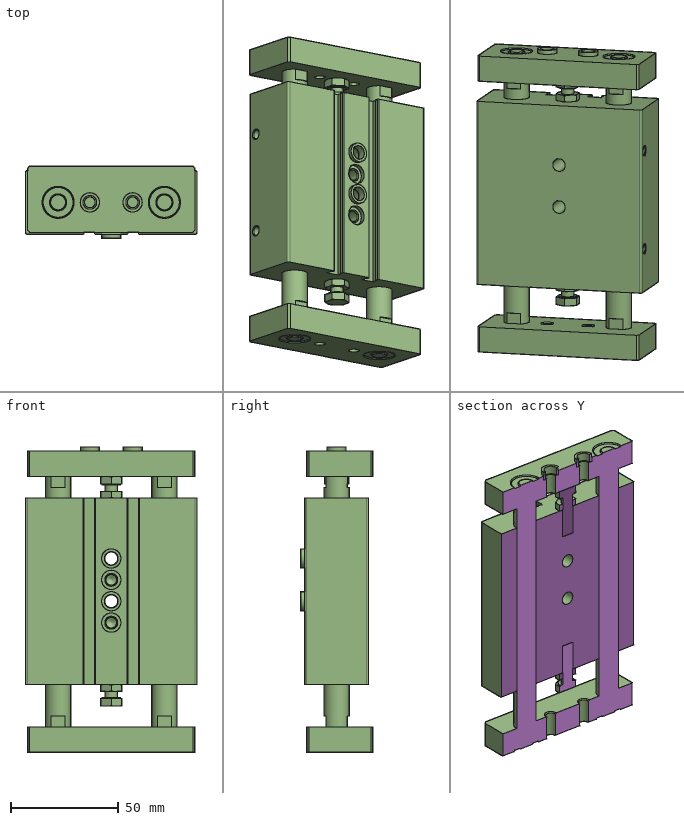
import cadquery as cq
import math


overall_height = 142.4
plate_width = 78.0
plate_height = 12.0
plate_back = 17.0
plate_front = -14.0
plate_chamfer = 1.0
rod_diameter = 12.0
rod_offset = 24.8
flat_width = 10.0
flat_height = 5.0
rod_recess_diameter = 15.0
rod_tip_diameter = 8.0
rod_recess_depth = 0.5

housing_width = 80.0
housing_depth = 29.9
housing_height = 87.0
housing_fillet = 1.0
upper_gap = 10.0
slot_inner = 7.8
slot_outer = 12.7
slot_undercut = 0.7
slot_lip = 1.9
slot_depth = 5.0
slot_lip_chamfer = 0.4
port_diameter = 4.1
port_mouth_diameter = 5.0
port_depth = 8.5
port_end_distance = 20.2
port_y = 10.0

hole_pitch = 10.0
upper_hole_distance = 28.2
sleeve_outer = 9.0
sleeve_inner = 6.4
sleeve_projection = 1.9
sleeve_length = 4.0
through_diameter = 6.0
thread_core_diameter = 5.0
thread_mouth_diameter = 6.0
blind_depth = 10.0
drill_point_angle = 118.0

screw_diameter = 6.0
screw_hole_depth = 14.2
screw_projection = upper_gap
hex_flats = 10.0
hex_chamfer_diameter = 10.5
head_height = 4.0
washer_face_diameter = 8.8
washer_face_height = 0.4
nut_height = 3.1
hex_chamfer_angle = 30.0
half_hex_angle = 30.0
hex_corners = hex_flats / math.cos(math.radians(half_hex_angle))

upper_plate_top = overall_height - sleeve_projection
upper_plate_bottom = upper_plate_top - plate_height
housing_top = upper_plate_bottom - upper_gap
housing_bottom = housing_top - housing_height
housing_front = -housing_depth / 2
sleeve_seat_depth = sleeve_length - sleeve_projection
sleeve_heights = [housing_top - upper_hole_distance - step * hole_pitch for step in (0, 2)]
blind_heights = [height - hole_pitch for height in sleeve_heights]
sides = (-1, 1)


def bore(diameter, depth, start, direction):
    """Cylinder that runs from `start` along `direction`."""
    return cq.Workplane(cq.Solid.makeCylinder(diameter / 2, depth, cq.Vector(*start), cq.Vector(*direction)))


def cone(start_diameter, end_diameter, depth, start, direction):
    """Cone that runs from `start` along `direction`."""
    solid = cq.Solid.makeCone(
        start_diameter / 2, end_diameter / 2, depth, cq.Vector(*start), cq.Vector(*direction)
    )
    return cq.Workplane(solid)


def countersink(mouth_diameter, hole_diameter, start, direction):
    """45 degree entry from the mouth down to the hole."""
    return cone(mouth_diameter, hole_diameter, (mouth_diameter - hole_diameter) / 2, start, direction)


def drilled_hole(diameter, depth, start, direction):
    """Blind hole with a conical drill point."""
    point_depth = diameter / 2 / math.tan(math.radians(drill_point_angle / 2))
    tip = cq.Vector(*start) + cq.Vector(*direction) * depth
    return bore(diameter, depth, start, direction).union(
        cone(diameter, 0, point_depth, tip.toTuple(), direction)
    )


def end_plate(bottom):
    """Chamfered plate with two thread holes."""
    plate = (
        cq.Workplane("XY", origin=(0, (plate_back + plate_front) / 2, bottom))
        .rect(plate_width, plate_back - plate_front)
        .extrude(plate_height)
        .edges("|Z")
        .chamfer(plate_chamfer)
    )
    for side in sides:
        start = (side * hole_pitch, 0, bottom)
        plate = plate.cut(bore(thread_core_diameter, plate_height, start, (0, 0, 1)))
    return plate


def guide_rod(x):
    """Rod between the plates, with a pair of wrench flats next to each plate."""
    length = upper_plate_bottom - plate_height
    rod = bore(rod_diameter, length, (x, 0, plate_height), (0, 0, 1))
    for middle in (plate_height + flat_height / 2, upper_plate_bottom - flat_height / 2):
        flats = cq.Workplane("XY", origin=(x, 0, middle)).box(rod_diameter, flat_width, flat_height)
        collar = cq.Workplane("XY", origin=(x, 0, middle)).box(rod_diameter, rod_diameter, flat_height)
        rod = rod.cut(collar.cut(flats))
    return rod


def rod_end_recess(x, outer_face, inward):
    """Shallow ring around the chamfered rod tip, which ends level with the plate."""
    direction = (0, 0, inward)
    floor_diameter = rod_recess_diameter - 2 * rod_recess_depth
    tip_end_diameter = rod_tip_diameter - 2 * rod_recess_depth
    ring = cone(rod_recess_diameter, floor_diameter, rod_recess_depth, (x, 0, outer_face), direction)
    tip = cone(tip_end_diameter, rod_tip_diameter, rod_recess_depth, (x, 0, outer_face), direction)
    return ring.cut(tip)


def make_frame():
    frame = end_plate(0).union(end_plate(upper_plate_bottom))
    for side in sides:
        frame = frame.union(guide_rod(side * rod_offset))
        frame = frame.cut(rod_end_recess(side * rod_offset, upper_plate_top, -1))
        frame = frame.cut(rod_end_recess(side * rod_offset, 0, 1))
        seat_start = (side * hole_pitch, 0, upper_plate_top)
        frame = frame.cut(bore(sleeve_outer, sleeve_seat_depth, seat_start, (0, 0, -1)))
        mouth_start = (side * hole_pitch, 0, plate_height)
        frame = frame.cut(countersink(thread_mouth_diameter, thread_core_diameter, mouth_start, (0, 0, -1)))
    return frame


def sensor_slot(side):
    """Undercut slot that is open at the front and runs the full height."""
    outline = [
        (slot_inner - slot_lip_chamfer, housing_front),
        (slot_outer + slot_lip_chamfer, housing_front),
        (slot_outer, housing_front + slot_lip_chamfer),
        (slot_outer, housing_front + slot_lip),
        (slot_outer + slot_undercut, housing_front + slot_lip),
        (slot_outer + slot_undercut, housing_front + slot_depth),
        (slot_inner - slot_undercut, housing_front + slot_depth),
        (slot_inner - slot_undercut, housing_front + slot_lip),
        (slot_inner, housing_front + slot_lip),
        (slot_inner, housing_front + slot_lip_chamfer),
    ]
    return (
        cq.Workplane("XY", origin=(0, 0, housing_bottom))
        .polyline([(side * x, y) for x, y in outline])
        .close()
        .extrude(housing_height)
    )


def make_housing():
    housing = (
        cq.Workplane("XY", origin=(0, 0, housing_bottom))
        .rect(housing_width, housing_depth)
        .extrude(housing_height)
        .edges("|Z")
        .fillet(housing_fillet)
    )
    for side in sides:
        housing = housing.cut(sensor_slot(side))
        rod_start = (side * rod_offset, 0, housing_bottom)
        housing = housing.cut(bore(rod_diameter, housing_height, rod_start, (0, 0, 1)))
    for z in (housing_bottom + port_end_distance, housing_top - port_end_distance):
        start = (-housing_width / 2, port_y, z)
        housing = housing.cut(drilled_hole(port_diameter, port_depth, start, (1, 0, 0)))
        housing = housing.cut(countersink(port_mouth_diameter, port_diameter, start, (1, 0, 0)))
    for z in sleeve_heights + blind_heights:
        start = (0, housing_front, z)
        housing = housing.cut(bore(sleeve_outer, sleeve_seat_depth, start, (0, 1, 0)))
    for z in sleeve_heights:
        housing = housing.cut(bore(through_diameter, housing_depth, (0, housing_front, z), (0, 1, 0)))
    for z in blind_heights:
        start = (0, housing_front + sleeve_seat_depth, z)
        housing = housing.cut(drilled_hole(thread_core_diameter, blind_depth, start, (0, 1, 0)))
        housing = housing.cut(countersink(thread_mouth_diameter, thread_core_diameter, start, (0, 1, 0)))
    for z, inward in ((housing_top, -1), (housing_bottom, 1)):
        housing = housing.cut(bore(screw_diameter, screw_hole_depth, (0, 0, z), (0, 0, inward)))
    return housing


def make_sleeve():
    """Centring sleeve along Z, with the face it is pressed into at Z = 0."""
    return (
        cq.Workplane("XY", origin=(0, 0, -sleeve_seat_depth))
        .circle(sleeve_outer / 2)
        .circle(sleeve_inner / 2)
        .extrude(sleeve_length)
    )


def hexagon(height):
    """Hexagon with one corner toward -Y."""
    flat = cq.Workplane("XY").polygon(6, hex_corners).extrude(height)
    return flat.rotate((0, 0, 0), (0, 0, 1), half_hex_angle)


def corner_trim(height, trim_bottom):
    """Turned envelope that bevels the corners of a hexagon."""
    corner_radius = hex_corners / 2
    face_radius = hex_chamfer_diameter / 2
    bevel = (corner_radius - face_radius) * math.tan(math.radians(hex_chamfer_angle))
    outline = cq.Workplane("XZ").moveTo(0, 0)
    if trim_bottom:
        outline = outline.lineTo(face_radius, 0).lineTo(corner_radius, bevel)
    else:
        outline = outline.lineTo(corner_radius, 0)
    outline = outline.lineTo(corner_radius, height - bevel).lineTo(face_radius, height).lineTo(0, height)
    return outline.close().revolve(360, (0, 0, 0), (0, 1, 0))


def make_nut():
    nut = hexagon(nut_height).intersect(corner_trim(nut_height, True))
    return nut.cut(bore(screw_diameter, nut_height, (0, 0, 0), (0, 0, 1)))


def make_screw():
    """Stop screw along Z: the housing face is at Z = 0 and the head stands out toward +Z."""
    hex_height = head_height - washer_face_height
    head_bottom = screw_projection - head_height
    head = hexagon(hex_height).intersect(corner_trim(hex_height, False))
    screw = head.translate((0, 0, head_bottom + washer_face_height))
    screw = screw.union(bore(washer_face_diameter, washer_face_height, (0, 0, head_bottom), (0, 0, 1)))
    shank_start = (0, 0, -screw_hole_depth)
    return screw.union(bore(screw_diameter, screw_hole_depth + head_bottom, shank_start, (0, 0, 1)))


def on_both_ends(body):
    """Copies on the upper and lower housing faces, the lower one turned over."""
    upper = body.translate((0, 0, housing_top))
    lower = body.rotate((0, 0, 0), (1, 0, 0), 180).translate((0, 0, housing_bottom))
    return [upper.val(), lower.val()]


frame = make_frame()
housing = make_housing()
screws = on_both_ends(make_screw())
nuts = on_both_ends(make_nut())

plate_sleeves = [make_sleeve().translate((side * hole_pitch, 0, upper_plate_top)).val() for side in sides]
housing_sleeves = [
    make_sleeve().rotate((0, 0, 0), (1, 0, 0), 90).translate((0, housing_front, z)).val()
    for z in sleeve_heights
]

result = cq.Compound.makeCompound(
    [frame.val(), housing.val(), *screws, *nuts, *plate_sleeves, *housing_sleeves]
)